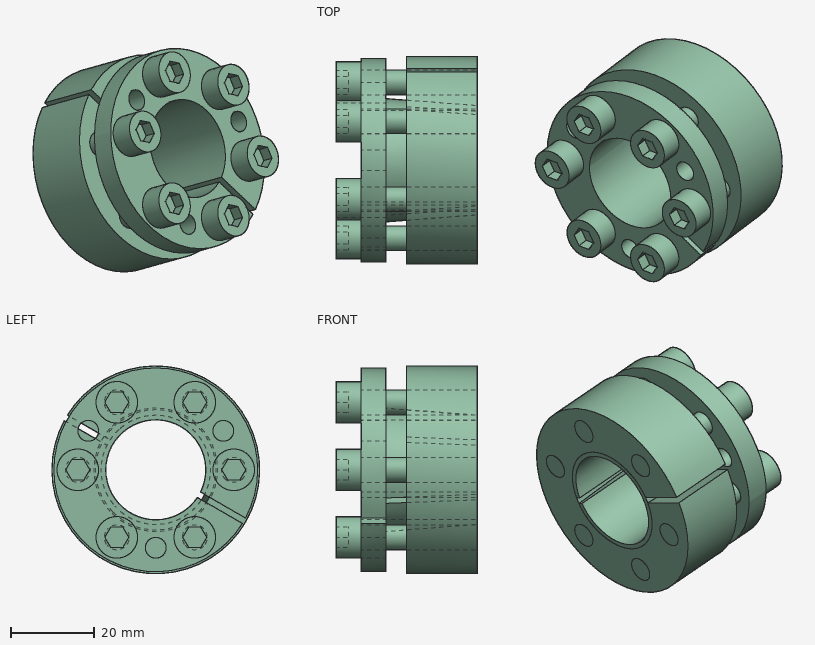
import cadquery as cq
import math


bore_diameter = 24.0
flange_diameter = 49.0
flange_thickness = 6.0
ring_diameter = 50.0
ring_length = 17.1
ring_gap = 4.9
cone_root_diameter = 29.7
cone_tip_diameter = 26.3
slit_width = 1.5
flange_slit_angle = 210.0
ring_slit_angle = 30.0

pitch_diameter = 37.5
screw_count = 6
shank_diameter = 6.0
head_diameter = 10.0
head_height = 6.0
socket_sides = 6
socket_across_flats = 5.0
socket_across_corners = socket_across_flats / math.cos(math.pi / socket_sides)
socket_depth = 3.0
jack_hole_diameter = 5.0
jack_hole_count = 3
first_jack_hole_angle = 30.0

flange_back = flange_thickness
ring_front = flange_back + ring_gap
ring_back = ring_front + ring_length


def cylinder(diameter, start, end):
    """Cylinder on the X axis between two stations."""
    return cq.Workplane("YZ", origin=(start, 0, 0)).circle(diameter / 2).extrude(end - start)


def cone():
    """Cone that narrows from the flange to the back of the outer ring."""
    return (
        cq.Workplane("XY")
        .moveTo(flange_back, 0)
        .lineTo(flange_back, cone_root_diameter / 2)
        .lineTo(ring_back, cone_tip_diameter / 2)
        .lineTo(ring_back, 0)
        .close()
        .revolve(360, (0, 0, 0), (1, 0, 0))
    )


def slit(angle):
    """Radial slab that splits one side of a ring over its whole length."""
    slab = cq.Workplane("XY").box(ring_back, ring_diameter, slit_width, centered=(False, False, True))
    return slab.rotate((0, 0, 0), (1, 0, 0), angle)


def pitch_circle_cylinders(diameter, count, first_angle, end):
    """Cylinders evenly spaced on the pitch circle, from the flange front to the end station."""
    return (
        cq.Workplane("YZ")
        .polarArray(pitch_diameter / 2, first_angle, 360, count)
        .circle(diameter / 2)
        .extrude(end)
    )


def make_flanged_cone():
    body = cylinder(flange_diameter, 0, flange_back).union(cone())
    body = body.cut(cylinder(bore_diameter, 0, ring_back))
    body = body.cut(pitch_circle_cylinders(shank_diameter, screw_count, 0, flange_back))
    body = body.cut(
        pitch_circle_cylinders(jack_hole_diameter, jack_hole_count, first_jack_hole_angle, flange_back)
    )
    return body.cut(slit(flange_slit_angle))


def make_outer_ring():
    body = cylinder(ring_diameter, ring_front, ring_back).cut(cone())
    body = body.cut(pitch_circle_cylinders(shank_diameter, screw_count, 0, ring_back))
    return body.cut(slit(ring_slit_angle))


def make_screw(angle):
    """Socket head screw seated on the flange, its shank ending flush with the ring back."""
    head = cylinder(head_diameter, -head_height, 0)
    shank = cylinder(shank_diameter, 0, ring_back)
    socket = (
        cq.Workplane("YZ", origin=(-head_height, 0, 0))
        .polygon(socket_sides, socket_across_corners)
        .extrude(socket_depth)
    )
    center_y = pitch_diameter / 2 * math.cos(math.radians(angle))
    center_z = pitch_diameter / 2 * math.sin(math.radians(angle))
    return head.union(shank).cut(socket).translate((0, center_y, center_z))


flanged_cone = make_flanged_cone()
outer_ring = make_outer_ring()
screws = [make_screw(index * 360 / screw_count) for index in range(screw_count)]

result = cq.Compound.makeCompound(
    [flanged_cone.val(), outer_ring.val(), *[screw.val() for screw in screws]]
)